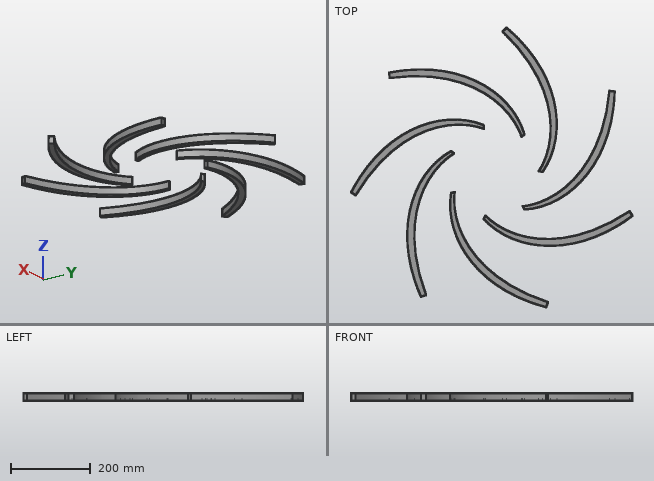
import cadquery as cq

VANE_COUNT = 7
VANE_HEIGHT = 20.0
CHORD_ANGLE = 103.1

CONVEX_FACE = [(-27.5, -118.0), (46.5, -200.0), (200.0, -220.0), (346.0, -111.5)]
CONCAVE_FACE = [(-23.0, -109.0), (39.0, -173.0), (176.5, -206.0), (339.0, -99.5)]


def make_vane(index):
    """Extrude one vane and turn it to its place around the wheel."""
    turn = CHORD_ANGLE + index * 360 / VANE_COUNT
    return (
        cq.Workplane("XY")
        .moveTo(*CONVEX_FACE[0])
        .bezier(CONVEX_FACE)
        .lineTo(*CONCAVE_FACE[-1])
        .bezier(CONCAVE_FACE[::-1])
        .close()
        .extrude(VANE_HEIGHT)
        .rotate((0, 0, 0), (0, 0, 1), turn)
    )


vanes = [make_vane(index) for index in range(VANE_COUNT)]
result = cq.Compound.makeCompound([vane.val() for vane in vanes])